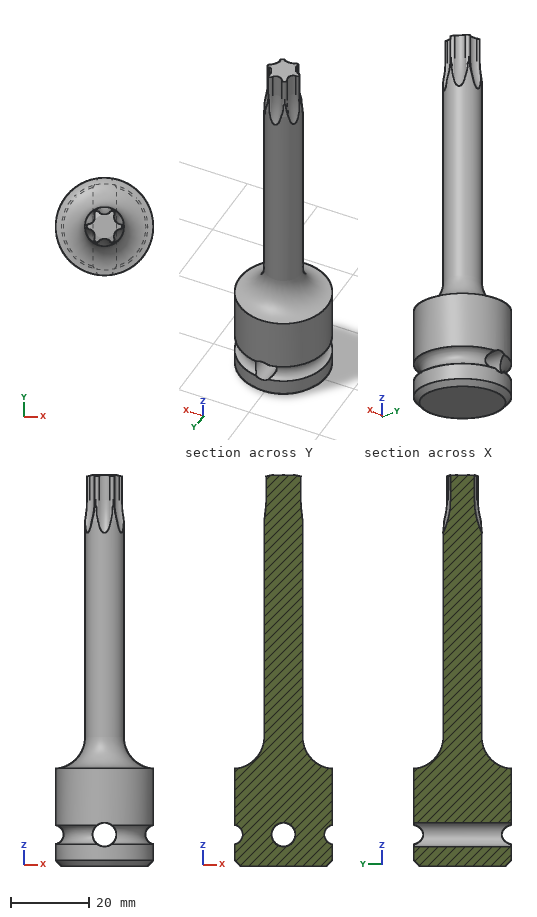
import cadquery as cq
import math

length = 100.0
overlap = 1.0

body_radius = 12.5
base_chamfer = 1.5
groove_middle_z = 8.1
groove_half_width = 2.4
groove_depth = 2.0
pin_hole_diameter = 6.0

shank_radius = 5.0
neck_top_z = 33.0
neck_fillet = 8.0

lobe_count = 6
lobe_radius = 4.5
flute_stock = 0.05
blank_radius = lobe_radius + flute_stock
tip_length = 6.4
cone_base_z = 88.2
cone_length = 3.4
lobe_edge_radius = 3.85
lobe_half_width = 0.65
end_face_radius = 3.0
end_bevel_height = 0.4

flute_floor_radius = 3.1
flute_end_z = 85.2

tip_base_z = length - tip_length
cone_top_z = cone_base_z + cone_length
lobe_pitch = 360.0 / lobe_count


def polar(radius, degrees):
    angle = math.radians(degrees)
    return (radius * math.cos(angle), radius * math.sin(angle))


def turned_body():
    """Revolved profile: body with groove, flared neck, shank and coned tip."""
    neck_center_x = shank_radius + neck_fillet
    shoulder_angle = math.acos((neck_center_x - body_radius) / neck_fillet)
    shoulder_z = neck_top_z - neck_fillet * math.sin(shoulder_angle)
    arc_middle = shoulder_angle / 2
    neck_middle = (
        neck_center_x - neck_fillet * math.cos(arc_middle),
        neck_top_z - neck_fillet * math.sin(arc_middle),
    )
    return (
        cq.Workplane("XZ")
        .moveTo(0, 0)
        .lineTo(body_radius - base_chamfer, 0)
        .lineTo(body_radius, base_chamfer)
        .lineTo(body_radius, groove_middle_z - groove_half_width)
        .threePointArc(
            (body_radius - groove_depth, groove_middle_z),
            (body_radius, groove_middle_z + groove_half_width),
        )
        .lineTo(body_radius, shoulder_z)
        .threePointArc(neck_middle, (shank_radius, neck_top_z))
        .lineTo(shank_radius, cone_base_z)
        .lineTo(blank_radius, cone_top_z)
        .lineTo(blank_radius, length - end_bevel_height)
        .lineTo(end_face_radius, length)
        .lineTo(0, length)
        .close()
        .revolve(360, (0, 0, 0), (0, 1, 0))
    )


def pin_hole():
    """Cross hole along Y through the middle of the groove."""
    return (
        cq.Workplane("XZ")
        .center(0, groove_middle_z)
        .circle(pin_hole_diameter / 2)
        .extrude(body_radius + overlap, both=True)
    )


def flute_profile():
    """Section of the gap facing +X, from the crest of one lobe to the crest of the next."""
    edge_angle = math.degrees(math.asin(lobe_half_width / lobe_edge_radius))
    crest_angle = lobe_pitch / 2
    edge_x, edge_y = polar(lobe_edge_radius, crest_angle - edge_angle)
    crest_x, crest_y = polar(lobe_radius, crest_angle)
    crest_height = lobe_radius - lobe_edge_radius * math.cos(math.radians(edge_angle))
    lobe_end_radius = (lobe_half_width**2 + crest_height**2) / (2 * crest_height)
    center_x, center_y = polar(lobe_radius - lobe_end_radius, crest_angle)
    half_span = math.degrees(math.asin(lobe_half_width / lobe_end_radius))
    offset_x, offset_y = polar(lobe_end_radius, crest_angle - half_span / 2)
    middle_x = center_x + offset_x
    middle_y = center_y + offset_y
    outer_x, outer_y = polar(shank_radius + overlap, crest_angle + edge_angle)
    return (
        cq.Workplane("XY", origin=(0, 0, length + overlap))
        .moveTo(crest_x, crest_y)
        .threePointArc((middle_x, middle_y), (edge_x, edge_y))
        .threePointArc((flute_floor_radius, 0), (edge_x, -edge_y))
        .threePointArc((middle_x, -middle_y), (crest_x, -crest_y))
        .lineTo(outer_x, -outer_y)
        .lineTo(outer_x, outer_y)
        .close()
    )


def flute_cutter():
    """Flute facing +X, straight along the tip and then curving out of the shank."""
    rise = shank_radius - flute_floor_radius
    drop = tip_base_z - flute_end_z
    runout_radius = (rise**2 + drop**2) / (2 * rise)
    last_rise = rise + overlap
    end_angle = math.acos(1 - last_rise / runout_radius)

    def runout_point(angle):
        return (
            flute_floor_radius + runout_radius * (1 - math.cos(angle)),
            tip_base_z - runout_radius * math.sin(angle),
        )

    path = (
        cq.Workplane("XZ")
        .moveTo(flute_floor_radius, length + overlap)
        .lineTo(flute_floor_radius, tip_base_z)
        .threePointArc(runout_point(end_angle / 2), runout_point(end_angle))
    )
    return flute_profile().sweep(path)


result = turned_body().cut(pin_hole())
flute = flute_cutter()
for index in range(lobe_count):
    turn = (index + 0.5) * lobe_pitch
    result = result.cut(flute.rotate((0, 0, 0), (0, 0, 1), turn))